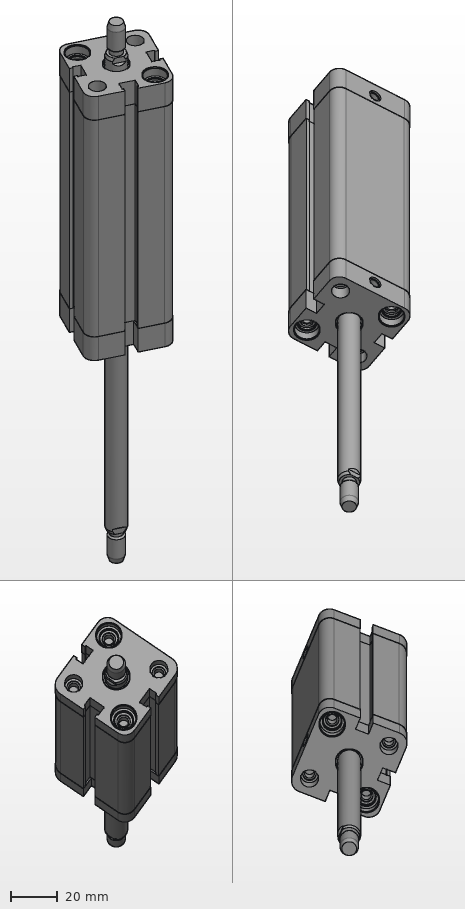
import cadquery as cq

total_length = 283.0
rod_projection = 22.0
body_length = 139.0
cap_height = 12.5
body_top = total_length - rod_projection
body_bottom = body_top - body_length
tube_top = body_top - cap_height
tube_bottom = body_bottom + cap_height

cap_width = 40.2
tube_width = 40.0
half_width = cap_width / 2
corner_radius = 5.0

slot_mouth_width = 6.0
slot_inner_width = 7.4
slot_lip = 1.7
slot_depths = {0: 6.0, 90: 5.5, 270: 5.5}

rod_diameter = 10.0
shoulder_projection = 6.0
shoulder_chamfer_width = 0.5
shoulder_chamfer_height = 1.7
neck_diameter = 6.2
neck_length = 2.3
thread_root_chamfer = 0.8
thread_diameter = 8.0
tip_diameter = 6.2
tip_chamfer_height = 2.8
flat_width = 8.0
flat_length = 2.8

rod_seal_steps = ((12.0, 0.8), (11.3, 1.7))
fastener_steps = ((7.5, 6.2), (5.7, 7.4), (4.2, cap_height))
counterbore_steps = ((11.3, 0.5), (10.5, 4.5), (8.5, 5.0), *fastener_steps)
hole_offset = 13.0

port_steps = ((5.7, 0.8), (4.2, 5.7))
port_inset = 7.4


def slot_cutter(angle, slot_depth, bottom, height, undercut):
    """Slot, T-shaped when undercut, that opens on the side facing the given angle."""
    mouth = (cq.Workplane("XY", origin=(half_width, 0, bottom))
             .rect(2 * slot_depth, slot_mouth_width)
             .extrude(height)
             .rotate((0, 0, 0), (0, 0, 1), angle))
    if not undercut:
        return mouth
    inner_depth = slot_depth - slot_lip
    inner_center = half_width - slot_lip - inner_depth / 2
    inner = (cq.Workplane("XY", origin=(inner_center, 0, bottom))
             .rect(inner_depth, slot_inner_width)
             .extrude(height)
             .rotate((0, 0, 0), (0, 0, 1), angle))
    return mouth.union(inner)


def slotted_block(width, bottom, height, undercut):
    """Rounded square block with the sensor slots and the rod hole."""
    block = (cq.Workplane("XY", origin=(0, 0, bottom))
             .rect(width, width)
             .extrude(height)
             .edges("|Z").fillet(corner_radius))
    for angle, slot_depth in slot_depths.items():
        block = block.cut(slot_cutter(angle, slot_depth, bottom, height, undercut))
    rod_hole = cq.Workplane("XY", origin=(0, 0, bottom)).circle(rod_diameter / 2).extrude(height)
    return block.cut(rod_hole)


def stepped_hole(face, steps):
    """Concentric cylinders that run from a face workplane along its normal."""
    cutter = cq.Workplane("XY")
    for diameter, depth in steps:
        cutter = cutter.union(face.circle(diameter / 2).extrude(depth))
    return cutter


def make_cap(bottom, outer_face, inward, undercut):
    """End cap; inward is the Z direction from its outer face to the tube."""
    def outer_plane(x, y):
        return cq.Workplane(cq.Plane((x, y, outer_face), (1, 0, 0), (0, 0, inward)))

    cap = slotted_block(cap_width, bottom, cap_height, undercut)
    cap = cap.cut(stepped_hole(outer_plane(0, 0), rod_seal_steps))
    for x_side in (-1, 1):
        for y_side in (-1, 1):
            steps = counterbore_steps if x_side == y_side else fastener_steps
            hole_face = outer_plane(x_side * hole_offset, y_side * hole_offset)
            cap = cap.cut(stepped_hole(hole_face, steps))
    port_face = cq.Workplane("YZ", origin=(-half_width, 0, outer_face + inward * port_inset))
    return cap.cut(stepped_hole(port_face, port_steps))


def rod_end_profile(shoulder, direction):
    """Half outline of one threaded end, from the shoulder to the tip."""
    tip = shoulder + direction * (rod_projection - shoulder_projection)
    return [
        (rod_diameter / 2, shoulder - direction * shoulder_chamfer_height),
        (rod_diameter / 2 - shoulder_chamfer_width, shoulder),
        (neck_diameter / 2, shoulder),
        (neck_diameter / 2, shoulder + direction * neck_length),
        (thread_diameter / 2, shoulder + direction * (neck_length + thread_root_chamfer)),
        (thread_diameter / 2, tip - direction * tip_chamfer_height),
        (tip_diameter / 2, tip),
        (0, tip),
    ]


def flat_cutter(shoulder, direction, side):
    """Wrench flat that starts at the shoulder and runs out at 45 degrees."""
    inner = side * flat_width / 2
    outer = side * rod_diameter / 2
    flat_end = shoulder - direction * flat_length
    runout_end = flat_end - direction * (rod_diameter - flat_width) / 2
    return (cq.Workplane("XZ")
            .polyline([(inner, shoulder), (inner, flat_end), (outer, runout_end), (outer, shoulder)])
            .close()
            .extrude(rod_diameter / 2, both=True))


def make_rod():
    """Through rod with a threaded end and a pair of wrench flats at both tips."""
    upper_shoulder = body_top + shoulder_projection
    lower_shoulder = rod_projection - shoulder_projection
    upper_end = rod_end_profile(upper_shoulder, 1)
    lower_end = rod_end_profile(lower_shoulder, -1)
    rod = (cq.Workplane("XZ")
           .polyline(lower_end[::-1] + upper_end)
           .close()
           .revolve(360, (0, 0), (0, 1)))
    for shoulder, direction in ((upper_shoulder, 1), (lower_shoulder, -1)):
        for side in (-1, 1):
            rod = rod.cut(flat_cutter(shoulder, direction, side))
    return rod


tube = slotted_block(tube_width, tube_bottom, tube_top - tube_bottom, undercut=True)
upper_cap = make_cap(tube_top, body_top, -1, undercut=True)
lower_cap = make_cap(body_bottom, body_bottom, 1, undercut=False)
rod = make_rod()

result = cq.Compound.makeCompound([tube.val(), upper_cap.val(), lower_cap.val(), rod.val()])